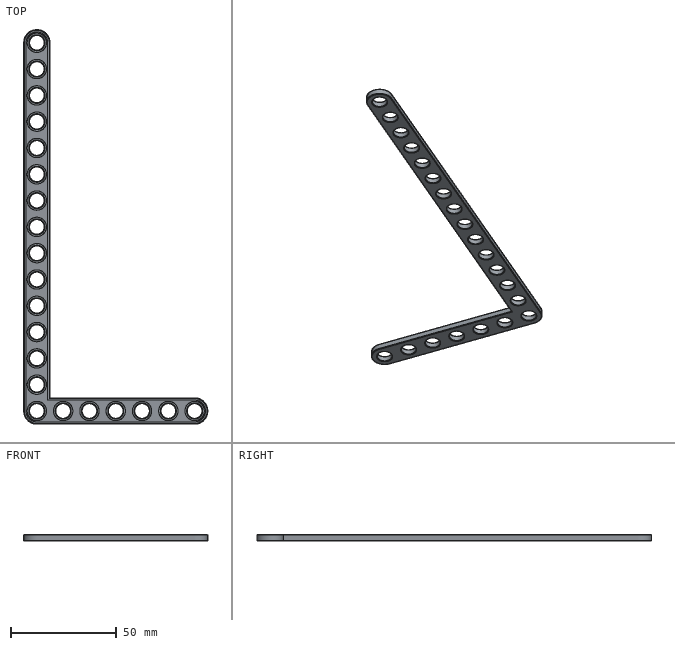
import cadquery as cq

PITCH = 12.5
X_HOLES = 7
Y_HOLES = 15
THICKNESS = 3.125
HOLE_DIAMETER = 7.0
COLLAR_DIAMETER = 9.2
RIM_WIDTH = (COLLAR_DIAMETER - HOLE_DIAMETER) / 2
RECESS_DEPTH = 0.2
EDGE_CHAMFER = 0.3

X_REACH = (X_HOLES - 1) * PITCH
Y_REACH = (Y_HOLES - 1) * PITCH
HOLE_CENTRES = [(i * PITCH, 0) for i in range(X_HOLES)]
HOLE_CENTRES += [(0, i * PITCH) for i in range(1, Y_HOLES)]


def angle_prism(half_width, base_z, height):
    """L-shaped prism with round arm ends and a round outer corner."""
    return (
        cq.Workplane("XY", origin=(0, 0, base_z))
        .moveTo(0, -half_width)
        .lineTo(X_REACH, -half_width)
        .threePointArc((X_REACH + half_width, 0), (X_REACH, half_width))
        .lineTo(half_width, half_width)
        .lineTo(half_width, Y_REACH)
        .threePointArc((0, Y_REACH + half_width), (-half_width, Y_REACH))
        .lineTo(-half_width, 0)
        .radiusArc((0, -half_width), -half_width)
        .close()
        .extrude(height)
    )


def hole_cylinders(diameter, base_z, height):
    """One upright cylinder at every hole centre."""
    return (
        cq.Workplane("XY", origin=(0, 0, base_z))
        .pushPoints(HOLE_CENTRES)
        .circle(diameter / 2)
        .extrude(height)
    )


def recess():
    """Shallow pocket inside the rim, leaving a collar around each hole."""
    floor_z = THICKNESS - RECESS_DEPTH
    pocket = angle_prism(PITCH / 2 - RIM_WIDTH, floor_z, RECESS_DEPTH)
    collars = hole_cylinders(COLLAR_DIAMETER, floor_z, RECESS_DEPTH)
    return pocket.cut(collars)


def chamfered_plate():
    """Pierced plate with every outer edge and hole mouth chamfered."""
    holes = hole_cylinders(HOLE_DIAMETER, 0, THICKNESS)
    pierced = angle_prism(PITCH / 2, 0, THICKNESS).cut(holes)
    return pierced.faces("|Z").edges().chamfer(EDGE_CHAMFER)


result = chamfered_plate().cut(recess())